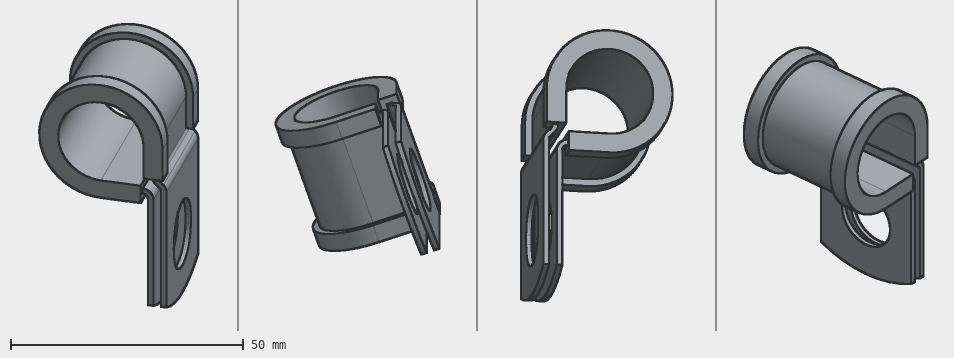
import cadquery as cq
import math

total_width = 28.45
rim_width = 4.0
bore_radius = 9.5
rim_radius = 13.75
upper_end_z = -7.65
lower_end_x = 8.9

strap_thickness = 1.25
strap_radius = 12.2
strap_width = 25.4
lower_bend_radius = 1.2
leg_outer_x = 14.2
jog_outer_radius = 2.4
jog_angle = math.radians(45)

overall_height = 55.9
tip_sag = 2.9
hole_diameter = 13.45
slot_travel = 2.1
hole_z = -27.8

jog_inner_radius = jog_outer_radius - strap_thickness
strap_inner_radius = strap_radius - strap_thickness
leg_bottom_z = rim_radius - overall_height


def extrude_centered(outline, width):
    return outline.close().extrude(width / 2, both=True)


def around(center, radius, angle):
    """Point on a circle, at an angle counted from +X."""
    return (center[0] + radius * math.cos(angle), center[1] + radius * math.sin(angle))


def clamp_loop(outer_radius, width):
    """Three-quarter ring whose two ends continue as straight tangents."""
    diagonal = math.sqrt(0.5)
    outline = (
        cq.Workplane("XZ")
        .moveTo(outer_radius, upper_end_z)
        .lineTo(outer_radius, 0)
        .threePointArc((-outer_radius * diagonal, outer_radius * diagonal), (0, -outer_radius))
        .lineTo(lower_end_x, -outer_radius)
        .lineTo(lower_end_x, -bore_radius)
        .lineTo(0, -bore_radius)
        .threePointArc((-bore_radius * diagonal, bore_radius * diagonal), (bore_radius, 0))
        .lineTo(bore_radius, upper_end_z)
    )
    return extrude_centered(outline, width)


def rim(side):
    offset = side * (total_width - rim_width) / 2
    return clamp_loop(rim_radius, rim_width).translate((0, offset, 0))


def lower_leg():
    """Leg that bends down from the lower end of the loop."""
    outer_bend_radius = lower_bend_radius + strap_thickness
    bend_center = (lower_end_x, -strap_radius - lower_bend_radius)
    leg_inner_x = lower_end_x + lower_bend_radius
    middle_angle = math.radians(45)
    outline = (
        cq.Workplane("XZ")
        .moveTo(lower_end_x, -strap_inner_radius)
        .threePointArc(
            around(bend_center, outer_bend_radius, middle_angle),
            (lower_end_x + outer_bend_radius, bend_center[1]),
        )
        .lineTo(lower_end_x + outer_bend_radius, leg_bottom_z)
        .lineTo(leg_inner_x, leg_bottom_z)
        .lineTo(leg_inner_x, bend_center[1])
        .threePointArc(
            around(bend_center, lower_bend_radius, middle_angle),
            (lower_end_x, -strap_radius),
        )
    )
    return extrude_centered(outline, strap_width)


def upper_leg():
    """Leg that jogs outward below the upper end of the loop, then hangs straight."""
    leg_inner_x = leg_outer_x - strap_thickness
    cosine = math.cos(jog_angle)
    slope = math.tan(jog_angle)

    first_center = (strap_inner_radius + jog_outer_radius, upper_end_z)
    inner_slope_start = around(first_center, jog_outer_radius, math.pi + jog_angle)
    outer_slope_start = around(first_center, jog_inner_radius, math.pi + jog_angle)

    corner_z = inner_slope_start[1] - (leg_inner_x - inner_slope_start[0]) * slope
    second_center_x = leg_outer_x - jog_outer_radius
    outer_slope_end_x = second_center_x + jog_outer_radius * cosine
    outer_slope_end_z = outer_slope_start[1] - (outer_slope_end_x - outer_slope_start[0]) * slope
    second_center = (second_center_x, outer_slope_end_z - jog_outer_radius * math.sin(jog_angle))

    outline = (
        cq.Workplane("XZ")
        .moveTo(strap_inner_radius, upper_end_z)
        .threePointArc(
            around(first_center, jog_outer_radius, math.pi + jog_angle / 2),
            inner_slope_start,
        )
        .lineTo(leg_inner_x, corner_z)
        .lineTo(leg_inner_x, leg_bottom_z)
        .lineTo(leg_outer_x, leg_bottom_z)
        .lineTo(leg_outer_x, second_center[1])
        .threePointArc(
            around(second_center, jog_outer_radius, jog_angle / 2),
            (outer_slope_end_x, outer_slope_end_z),
        )
        .lineTo(*outer_slope_start)
        .threePointArc(
            around(first_center, jog_inner_radius, math.pi + jog_angle / 2),
            (strap_radius, upper_end_z),
        )
    )
    return extrude_centered(outline, strap_width)


def leg_profile():
    """Leg silhouette along X, with a rounded tip."""
    half_width = strap_width / 2
    tip_corner_z = leg_bottom_z + tip_sag
    return (
        cq.Workplane("YZ")
        .moveTo(-half_width, 0)
        .lineTo(-half_width, tip_corner_z)
        .threePointArc((0, leg_bottom_z), (half_width, tip_corner_z))
        .lineTo(half_width, 0)
        .close()
        .extrude(leg_outer_x)
    )


def bolt_hole():
    return cq.Workplane("YZ").center(0, hole_z).circle(hole_diameter / 2).extrude(leg_outer_x)


def bolt_slot():
    """Upright slot that leaves the bolt some vertical play."""
    slot_length = hole_diameter + slot_travel
    return cq.Workplane("YZ").center(0, hole_z).slot2D(slot_length, hole_diameter, 90).extrude(leg_outer_x)


drilled_leg = lower_leg().intersect(leg_profile()).cut(bolt_hole())
slotted_leg = upper_leg().intersect(leg_profile()).cut(bolt_slot())
loop = clamp_loop(strap_radius, total_width - rim_width).union(rim(-1)).union(rim(1))
result = loop.union(drilled_leg).union(slotted_leg)